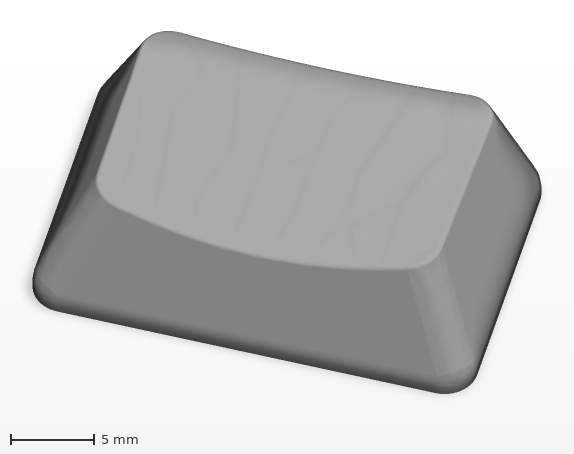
import cadquery as cq
import math

length = 27.69
width = 18.16
skirt_height = 1.0

side_lean = 25.6
front_lean = 27.8
back_lean = 5.2

corner_radius = 2.03
skirt_blend_radius = 1.6
rim_radius = 0.3

front_dish_low = 6.09
front_dish_rim = 7.68
back_dish_low = 6.35
back_dish_rim = 7.05
rim_half_length = 10.9
front_rim_y = -5.9
back_rim_y = 8.5

blank_height = 9.0
cutter_overhang = 1.0


def wall_inset(lean):
    """Horizontal travel of a leaning wall from the skirt to the top of the blank."""
    return (blank_height - skirt_height) * math.tan(math.radians(lean))


def make_blank():
    """Rectangular skirt with four leaning walls above it, all edges sharp."""
    side_inset = wall_inset(side_lean)
    front_inset = wall_inset(front_lean)
    back_inset = wall_inset(back_lean)
    top_length = length - 2 * side_inset
    top_width = width - front_inset - back_inset
    top_center_y = (front_inset - back_inset) / 2

    skirt = cq.Workplane("XY").box(length, width, skirt_height, centered=(True, True, False))
    walls = (
        cq.Workplane("XY", origin=(0, 0, skirt_height))
        .rect(length, width)
        .workplane(offset=blank_height - skirt_height)
        .center(0, top_center_y)
        .rect(top_length, top_width)
        .loft(ruled=True)
    )
    return skirt.union(walls)


def round_walls(blank):
    """Round the upright corners and blend the skirt into the walls, each with its own radius.

    The two sets of edges meet at four points, so they are rounded in one operation.
    """
    shoulder = cq.selectors.BoxSelector(
        (-length, -width, skirt_height / 2),
        (length, width, 2 * skirt_height),
        boundingbox=True,
    )
    rounding = cq.occ_impl.shapes.BRepFilletAPI_MakeFillet(blank.val().wrapped)
    for edge in blank.edges("not(#Z)").vals():
        rounding.Add(corner_radius, edge.wrapped)
    for edge in blank.edges(shoulder).vals():
        rounding.Add(skirt_blend_radius, edge.wrapped)
    return cq.Workplane(cq.Shape.cast(rounding.Shape()))


def rim_arc_height(low, rim, reach):
    """Height, at distance reach from the middle, of the arc through low and both rim ends."""
    rise = rim - low
    radius = (rim_half_length**2 + rise**2) / (2 * rise)
    return low + radius - math.sqrt(radius**2 - reach**2)


def along_y(front_value, back_value, y):
    """Straight-line value at y, given the values at the front and back rims."""
    return front_value + (back_value - front_value) * (y - front_rim_y) / (back_rim_y - front_rim_y)


def dish_section(y):
    """Closed outline, in the plane at y, of the space above the dish."""
    reach = length / 2
    low = along_y(front_dish_low, back_dish_low, y)
    rim = along_y(front_dish_rim, back_dish_rim, y)
    end_height = rim_arc_height(low, rim, reach)
    ceiling = blank_height + 2 * cutter_overhang
    return (
        cq.Workplane("XZ", origin=(0, y, 0))
        .moveTo(-reach, end_height)
        .threePointArc((0, low), (reach, end_height))
        .lineTo(reach, ceiling)
        .lineTo(-reach, ceiling)
        .close()
        .val()
    )


def make_dish_cutter():
    """Ruled body from the front arc to the back arc, reaching past both walls."""
    front = dish_section(-width / 2 - cutter_overhang)
    back = dish_section(width / 2 + cutter_overhang)
    return cq.Workplane(cq.Solid.makeLoft([front, back], True))


def round_rim(cap):
    """Round the edge all round the dished top."""
    rim = cq.selectors.BoxSelector(
        (-length, -width, front_dish_low - 2 * rim_radius),
        (length, width, blank_height),
        boundingbox=True,
    )
    return cap.edges(rim).fillet(rim_radius)


cap = round_walls(make_blank())
result = round_rim(cap.cut(make_dish_cutter()))